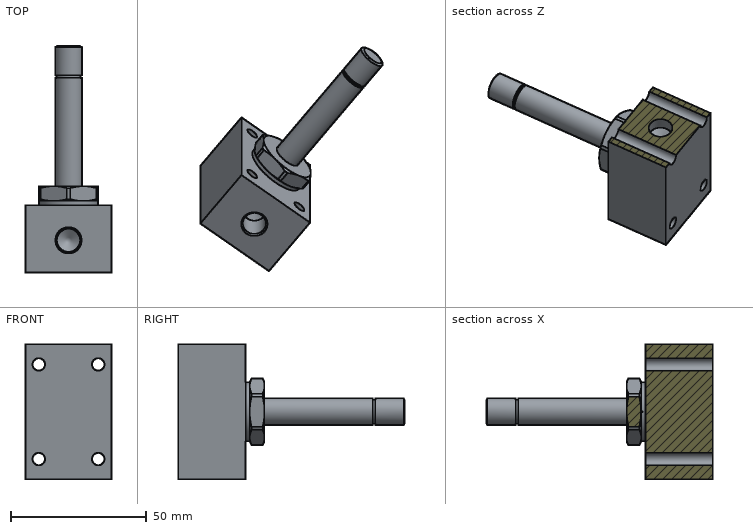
import cadquery as cq
import math

block_width = 32.0
block_depth = 25.0
block_height = 50.0

mount_diameter = 4.5
mount_pitch_x = 22.0
mount_pitch_z = 35.0

port_diameter = 8.6
port_mouth_diameter = 9.75
port_depth = 12.0
port_offset_y = 12.0
drill_tip_angle = 118

nut_across_flats = 22.0
nut_corner_diameter = 24.7
nut_thickness = 5.5
nut_chamfer_length = 0.7
collar_diameter = nut_across_flats
collar_length = 1.5

overall_length = 84
tube_diameter = 10.0
tip_face_diameter = 8.0
tip_chamfer_length = 0.5
groove_diameter = 9.0
groove_width = 0.8
cap_length = 11.0

nut_start = block_depth + collar_length
nut_end = nut_start + nut_thickness


def cylinder_y(diameter, start, end):
    """Cylinder on the tube axis between two Y positions."""
    plane = cq.Workplane("XZ", origin=(0, start, 0))
    return plane.circle(diameter / 2).extrude(start - end)


def make_block():
    block = cq.Workplane("XY").box(
        block_width, block_depth, block_height, centered=(True, False, True)
    )
    mount_holes = (
        cq.Workplane("XZ")
        .rarray(mount_pitch_x, mount_pitch_z, 2, 2)
        .circle(mount_diameter / 2)
        .extrude(-block_depth)
    )
    return block.cut(mount_holes)


def make_port():
    """Drilled hole from the top face, with a chamfered mouth and a conical bottom."""
    radius = port_diameter / 2
    mouth_radius = port_mouth_diameter / 2
    top = block_height / 2
    floor = top - port_depth
    cone_height = radius / math.tan(math.radians(drill_tip_angle / 2))
    profile = [
        (0, top),
        (mouth_radius, top),
        (radius, top - (mouth_radius - radius)),
        (radius, floor),
        (0, floor - cone_height),
    ]
    port = cq.Workplane("XZ").polyline(profile).close().revolve(360, (0, 0), (0, 1))
    return port.translate((0, port_offset_y, 0))


def make_nut():
    """Hexagon with flats facing X, its corners turned down and chamfered at both ends."""
    corner_distance = nut_across_flats / math.cos(math.pi / 6)
    hexagon = (
        cq.Workplane("XZ", origin=(0, nut_start, 0))
        .polygon(6, corner_distance)
        .extrude(-nut_thickness)
        .rotate((0, 0, 0), (0, 1, 0), 90)
    )
    corner_radius = nut_corner_diameter / 2
    face_radius = nut_across_flats / 2
    profile = [
        (0, nut_start),
        (face_radius, nut_start),
        (corner_radius, nut_start + nut_chamfer_length),
        (corner_radius, nut_end - nut_chamfer_length),
        (face_radius, nut_end),
        (0, nut_end),
    ]
    turned = cq.Workplane("XY").polyline(profile).close().revolve(360, (0, 0), (0, 1))
    return hexagon.intersect(turned)


def make_tube():
    """Tube with a chamfered tip and a narrow groove behind the cap."""
    tube = cylinder_y(tube_diameter, block_depth, overall_length)
    tip_chamfer_radial = (tube_diameter - tip_face_diameter) / 2
    tube = tube.faces(">Y").chamfer(tip_chamfer_length, tip_chamfer_radial)
    groove_end = overall_length - cap_length
    groove_start = groove_end - groove_width
    groove = cylinder_y(tube_diameter, groove_start, groove_end).cut(
        cylinder_y(groove_diameter, groove_start, groove_end)
    )
    return tube.cut(groove)


top_port = make_port()
bottom_port = top_port.mirror("XY")
collar = cylinder_y(collar_diameter, block_depth, nut_start)

result = make_block().cut(top_port).cut(bottom_port)
result = result.union(collar).union(make_nut()).union(make_tube())